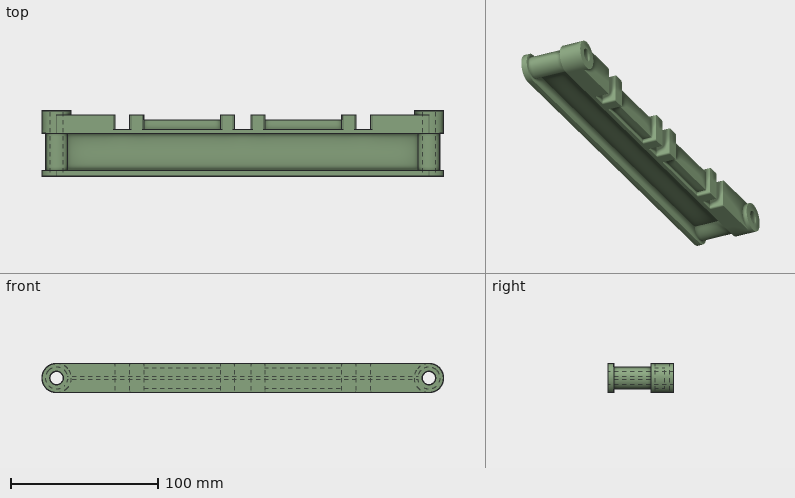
import cadquery as cq

length = 273.0
depth = 44.8
height = 20.0
half_height = height / 2
pin_x = length / 2 - half_height

plate_thickness = 4.0
rail_front = 29.2
rail_back = 41.8
post_diameter = 15.0
hole_diameter = 9.0
web_thickness = 2.0

notch_floor = 32.0
center_notch_width = 11.0
tab_width = 9.8
pocket_width = 52.0
outer_notch_width = 9.8
shelf_back = 38.5
shelf_inset = 3.0
edge_radius = 1.0

inner_tab_start = center_notch_width / 2
pocket_start = inner_tab_start + tab_width
outer_tab_start = pocket_start + pocket_width
outer_notch_start = outer_tab_start + tab_width
end_block_start = outer_notch_start + outer_notch_width


def bar(x_min, x_max, y_min, y_max, bar_height):
    """Box between the given X and Y limits, centred on z = 0."""
    return (
        cq.Workplane("XY")
        .box(x_max - x_min, y_max - y_min, bar_height, centered=(False, False, True))
        .translate((x_min, y_min, 0))
    )


def cylinder_along_y(x, diameter, y_min, y_max):
    """Cylinder parallel to Y, centred on z = 0."""
    return (
        cq.Workplane("XZ", origin=(x, y_min, 0))
        .circle(diameter / 2)
        .extrude(y_min - y_max)
    )


def front_plate():
    return cq.Workplane("XZ").slot2D(length, height).extrude(-plate_thickness)


def web():
    return bar(-pin_x, pin_x, plate_thickness, rail_front, web_thickness)


def rounded_block(x_min, x_max, rounded_sides):
    """Full-height block behind the notch floor, rounded along Y on the chosen sides."""
    block = bar(x_min, x_max, notch_floor, rail_back, height)
    for side in rounded_sides:
        block = block.faces(side).edges("|Y").fillet(edge_radius)
    return block


def rear_rail():
    inner_tab = rounded_block(inner_tab_start, pocket_start, ("<X", ">X"))
    outer_tab = rounded_block(outer_tab_start, outer_notch_start, ("<X", ">X"))
    end_block = rounded_block(end_block_start, pin_x, ("<X",))
    shelf_height = height - 2 * shelf_inset
    shelf = bar(pocket_start, outer_tab_start, notch_floor, shelf_back, shelf_height)

    rail = bar(-pin_x, pin_x, rail_front, notch_floor, height)
    for piece in (inner_tab, shelf, outer_tab, end_block):
        rail = rail.union(piece).union(piece.mirror("YZ"))
    return rail


result = front_plate().union(web()).union(rear_rail())

for x in (-pin_x, pin_x):
    result = result.union(cylinder_along_y(x, post_diameter, plate_thickness, rail_front))
    result = result.union(cylinder_along_y(x, height, rail_front, depth))
    result = result.cut(cylinder_along_y(x, hole_diameter, 0, depth))